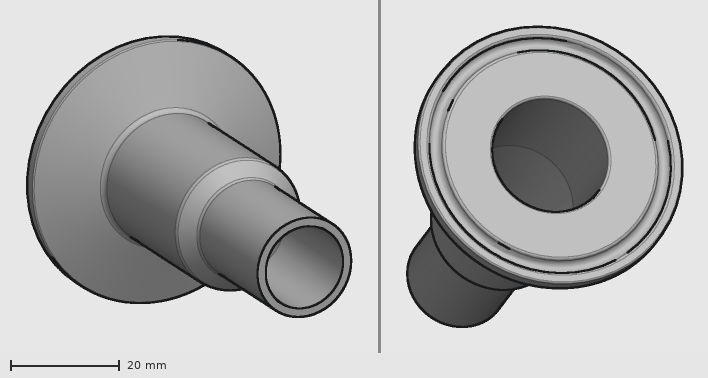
import cadquery as cq
import math

total_length = 66.7
hub_radius = 25.4 / 2
hub_bore_radius = 22.1 / 2
tube_radius = 19.1 / 2
tube_bore_radius = 15.75 / 2

flange_radius = 50.4 / 2
rim_length = 2.8
flange_back_angle = 20.0
rim_edge_radius = 0.35
flange_root_radius = 1.2
bore_edge_radius = 0.5

groove_middle_radius = 21.8
groove_section_radius = 1.3
groove_edge_radius = 0.6

cone_start = 38.15
cone_end = cone_start + hub_radius - tube_radius
reducer_bend_radius = 1.0

bore_taper_start = 25.4

back_slope = math.tan(math.radians(flange_back_angle))
hub_start = rim_length + (flange_radius - hub_radius) * back_slope

groove_inner_radius = groove_middle_radius - groove_section_radius
groove_outer_radius = groove_middle_radius + groove_section_radius


def make_sharp_body():
    """Hollow body of revolution about the X axis, before its edges are rounded."""
    return (
        cq.Workplane("XY")
        .moveTo(0, hub_bore_radius)
        .lineTo(0, groove_inner_radius)
        .threePointArc((groove_section_radius, groove_middle_radius), (0, groove_outer_radius))
        .lineTo(0, flange_radius)
        .lineTo(rim_length, flange_radius)
        .lineTo(hub_start, hub_radius)
        .lineTo(cone_start, hub_radius)
        .lineTo(cone_end, tube_radius)
        .lineTo(total_length, tube_radius)
        .lineTo(total_length, tube_bore_radius)
        .lineTo(cone_end, tube_bore_radius)
        .lineTo(bore_taper_start, hub_bore_radius)
        .close()
        .revolve(360, (0, 0, 0), (1, 0, 0))
    )


def round_edge(body, x, edge_radius, fillet_radius):
    """Rounds the circular edge of the given radius at position x on the axis."""
    tolerance = 0.01

    def is_wanted(edge):
        at_position = abs(edge.Center().x - x) < tolerance
        return at_position and abs(edge.radius() - edge_radius) < tolerance

    return body.edges("%CIRCLE").filter(is_wanted).fillet(fillet_radius)


rounded_edges = [
    (0, flange_radius, rim_edge_radius),
    (rim_length, flange_radius, rim_edge_radius),
    (0, groove_outer_radius, groove_edge_radius),
    (0, groove_inner_radius, groove_edge_radius),
    (0, hub_bore_radius, bore_edge_radius),
    (hub_start, hub_radius, flange_root_radius),
    (cone_start, hub_radius, reducer_bend_radius),
    (cone_end, tube_radius, reducer_bend_radius),
]

result = make_sharp_body()
for position, edge_radius, fillet_radius in rounded_edges:
    result = round_edge(result, position, edge_radius, fillet_radius)